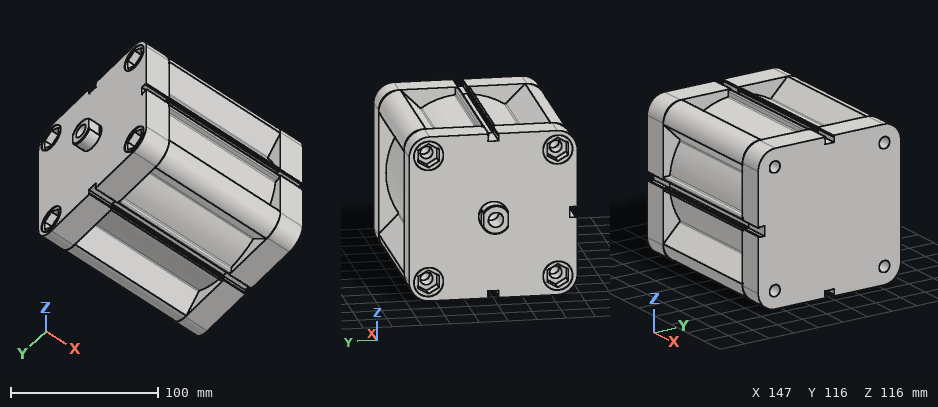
import cadquery as cq
import math


body_side = 116.0
total_length = 147.0
rod_stickout = 10.0
front_cap_length = 20.0
rear_cap_length = 19.5
barrel_length = total_length - rod_stickout - front_cap_length - rear_cap_length
half_side = body_side / 2
rear_cap_start = front_cap_length + barrel_length

cap_corner_radius = 14.0
barrel_corner_radius = 15.0

screw_offset = 44.5
screw_hole_diameter = 8.5
screw_recess_diameter = 20.3
screw_recess_depth = 0.6
hex_across_flats = 14.4
hex_depth = 8.8

slot_depth = 5.1
cap_mouth_half_width = 3.1
cap_inner_half_width = 3.7
cap_lip = 1.2
barrel_mouth_half_width = 2.6
barrel_inner_half_width = 3.1
barrel_lip = 1.6
mouth_chamfer = 0.5
side_angles = (0, 90, 180, 270)
slot_angles = side_angles[:3]

tube_radius = 52.9
rail_half_width = 5.1
rail_drop = 0.6
flank_fillet = 1.0
rail_fillet = 0.9
rail_edge_radius = 0.9
recess_half_width = half_side - barrel_corner_radius
recess_depth = 20.6

rod_diameter = 20.3
rod_across_flats = 17.0
rod_flat_length = 9.3
rod_chamfer = 0.6
rod_hole_diameter = 10.3
rod_hole_depth = 17.6
drill_point_angle = 118.0


def yz_plane(x):
    """Plane across the axis at x, with local x along +Y and local y along +Z."""
    return cq.Workplane("YZ", origin=(x, 0, 0))


def rounded_square(x, length, radius):
    block = yz_plane(x).rect(body_side, body_side).extrude(length)
    return block.edges("|X").fillet(radius)


def turned(shape, angle):
    """Turn a shape about the cylinder axis."""
    return shape.rotate((0, 0, 0), (1, 0, 0), angle)


def screw_points(plane):
    side = 2 * screw_offset
    return plane.rect(side, side, forConstruction=True).vertices()


def drill_screw_holes(solid, x, length):
    return solid.cut(screw_points(yz_plane(x)).circle(screw_hole_diameter / 2).extrude(length))


def slot_cutter(x, length, mouth, inner, lip, top):
    """T-shaped cutter for the +Z side, with a mouth open at height top."""
    floor = half_side - slot_depth
    neck = yz_plane(x).rect(2 * mouth, 2 * half_side).extrude(length)
    neck = neck.translate((0, 0, floor + half_side))
    lip_underside = top - lip
    chamber = yz_plane(x).center(0, (floor + lip_underside) / 2)
    chamber = chamber.rect(2 * inner, lip_underside - floor).extrude(length)
    return neck.union(chamber)


def make_cap(x, length):
    cap = rounded_square(x, length, cap_corner_radius)
    slot = slot_cutter(x, length, cap_mouth_half_width, cap_inner_half_width, cap_lip, half_side)
    for angle in slot_angles:
        cap = cap.cut(turned(slot, angle))
    return drill_screw_holes(cap, x, length)


def make_front_cap():
    cap = make_cap(0, front_cap_length)
    recesses = screw_points(yz_plane(0)).circle(screw_recess_diameter / 2).extrude(screw_recess_depth)
    hex_corner_diameter = hex_across_flats / math.cos(math.pi / 6)
    socket = yz_plane(0).polygon(6, hex_corner_diameter).extrude(hex_depth)
    socket = turned(socket, 90)
    cap = cap.cut(recesses)
    for y in (-screw_offset, screw_offset):
        for z in (-screw_offset, screw_offset):
            cap = cap.cut(socket.translate((0, y, z)))
    rod_bore = yz_plane(0).circle(rod_diameter / 2).extrude(front_cap_length)
    return cap.cut(rod_bore)


def side_recess():
    """Recess of the +Z side, with 45 degree flanks between the corner columns."""
    recess_floor_half_width = recess_half_width - recess_depth
    floor = half_side - recess_depth
    outline = yz_plane(front_cap_length).polyline([
        (-recess_half_width, half_side),
        (-recess_floor_half_width, floor),
        (recess_floor_half_width, floor),
        (recess_half_width, half_side),
    ])
    return outline.close().extrude(barrel_length)


def fillet_inner_corner(barrel, y, z, radius):
    """Fillet the lengthwise edge at (y, z), and its mirror image at (-y, z)."""
    reach = 0.1
    for side in (-1, 1):
        box = cq.selectors.BoxSelector(
            (front_cap_length, side * y - reach, z - reach),
            (rear_cap_start, side * y + reach, z + reach),
        )
        barrel = barrel.edges(box).edges("|X").fillet(radius)
    return barrel


def make_barrel():
    barrel = rounded_square(front_cap_length, barrel_length, barrel_corner_radius)
    for angle in side_angles:
        barrel = barrel.cut(turned(side_recess(), angle))
    barrel = barrel.union(yz_plane(front_cap_length).circle(tube_radius).extrude(barrel_length))

    rail_top = half_side - rail_drop
    rail = yz_plane(front_cap_length).center(0, rail_top / 2)
    rail = rail.rect(2 * rail_half_width, rail_top).extrude(barrel_length)
    rail = rail.faces(">Z").edges("|X").fillet(rail_edge_radius)
    for angle in slot_angles:
        barrel = barrel.union(turned(rail, angle))

    flank_step = half_side - recess_half_width
    flank_y = (math.sqrt(2 * tube_radius ** 2 - flank_step ** 2) - flank_step) / 2
    rail_foot_z = math.sqrt(tube_radius ** 2 - rail_half_width ** 2)
    for angle in side_angles:
        barrel = turned(barrel, -angle)
        barrel = fillet_inner_corner(barrel, flank_y, flank_y + flank_step, flank_fillet)
        if angle in slot_angles:
            barrel = fillet_inner_corner(barrel, rail_half_width, rail_foot_z, rail_fillet)
        barrel = turned(barrel, angle)

    slot = slot_cutter(
        front_cap_length,
        barrel_length,
        barrel_mouth_half_width,
        barrel_inner_half_width,
        barrel_lip,
        rail_top,
    )
    mouth_outer_half_width = barrel_mouth_half_width + mouth_chamfer
    mouth = yz_plane(front_cap_length).polyline([
        (-mouth_outer_half_width, rail_top),
        (-barrel_mouth_half_width, rail_top - mouth_chamfer),
        (barrel_mouth_half_width, rail_top - mouth_chamfer),
        (mouth_outer_half_width, rail_top),
    ])
    slot = slot.union(mouth.close().extrude(barrel_length))
    for angle in slot_angles:
        barrel = barrel.cut(turned(slot, angle))
    return drill_screw_holes(barrel, front_cap_length, barrel_length)


def make_rod():
    radius = rod_diameter / 2
    rod = yz_plane(-rod_stickout).circle(radius).extrude(rod_stickout + front_cap_length)
    rod = rod.faces("<X").chamfer(rod_chamfer)

    waste_offset = (rod_across_flats + rod_diameter) / 2
    for side in (-1, 1):
        waste = yz_plane(-rod_stickout).center(side * waste_offset, 0)
        rod = rod.cut(waste.rect(rod_diameter, rod_diameter).extrude(rod_flat_length))

    hole_radius = rod_hole_diameter / 2
    point_length = hole_radius / math.tan(math.radians(drill_point_angle / 2))
    hole_end = rod_hole_depth - rod_stickout
    hole = cq.Workplane("XY").polyline([
        (-rod_stickout, 0),
        (-rod_stickout, hole_radius),
        (hole_end, hole_radius),
        (hole_end + point_length, 0),
    ])
    hole = hole.close().revolve(360, (0, 0, 0), (1, 0, 0))
    return rod.cut(hole)


front_cap = make_front_cap()
barrel = make_barrel()
rear_cap = make_cap(rear_cap_start, rear_cap_length)
rod = make_rod()

result = cq.Compound.makeCompound([front_cap.val(), barrel.val(), rear_cap.val(), rod.val()])